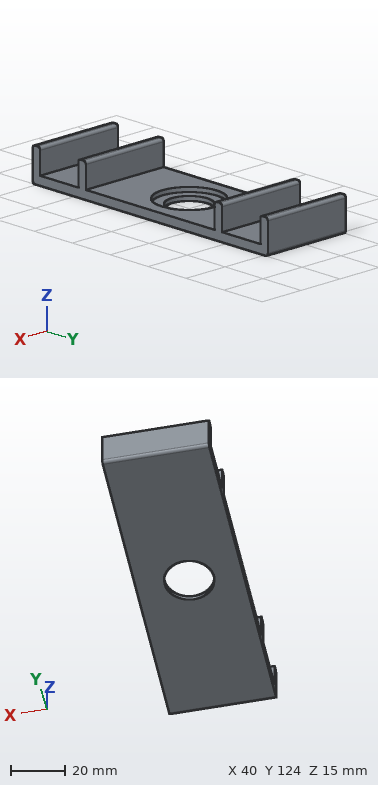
import cadquery as cq

length = 124.0
width = 40.0
height = 15.0

floor_thickness = 4.0
wall_thickness = 4.0
channel_width = 20.1
edge_radius = 1.2

hole_diameter = 18.5
recess_diameter = 28.0
recess_depth = 2.0

outer_wall_y = (length - wall_thickness) / 2
inner_wall_y = outer_wall_y - wall_thickness - channel_width


def make_base():
    """Plate with its two bottom end edges rounded."""
    plate = cq.Workplane("XY").box(width, length, floor_thickness, centered=(True, True, False))
    return plate.edges("|X and <Z").fillet(edge_radius)


def make_wall(y):
    """Upright wall across the full width, with both top edges rounded.

    It starts at mid-floor, above the rounding of the plate ends.
    """
    foot = floor_thickness / 2
    wall = (
        cq.Workplane("XY", origin=(0, y, foot))
        .box(width, wall_thickness, height - foot, centered=(True, True, False))
    )
    return wall.edges("|X and >Z").fillet(edge_radius)


body = make_base()
for wall_y in (-outer_wall_y, -inner_wall_y, inner_wall_y, outer_wall_y):
    body = body.union(make_wall(wall_y))

result = (
    body.clean()
    .copyWorkplane(cq.Workplane("XY", origin=(0, 0, floor_thickness)))
    .cboreHole(hole_diameter, recess_diameter, recess_depth)
)